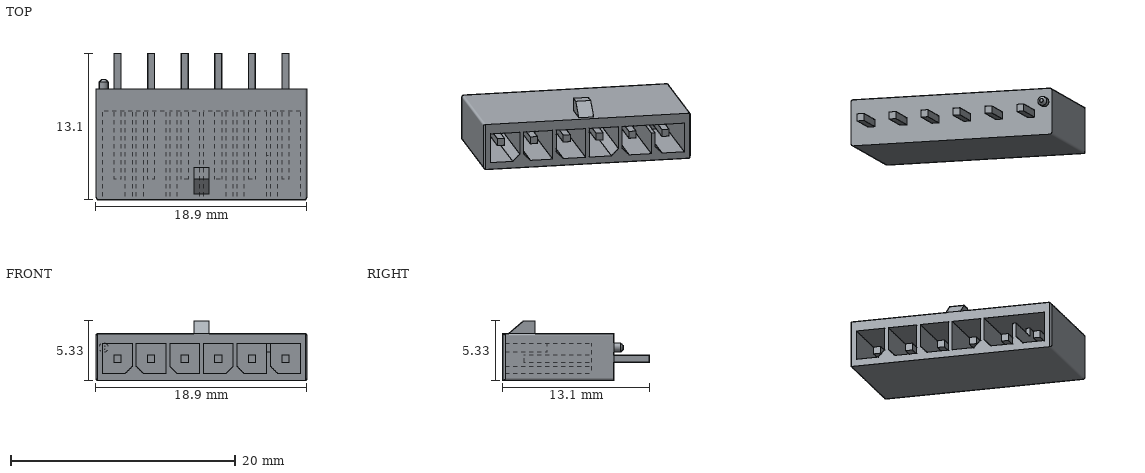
import cadquery as cq

body_width = 18.85
body_depth = 9.92
body_height = 4.18
edge_radius = 0.2
front_chamfer_width = 0.13
front_chamfer_depth = 0.26

contact_count = 6
pitch = 3.0
cavity_size = 2.65
cavity_depth = 7.92
cavity_center_z = 1.96
key_chamfer = 0.65
keys_on_right = (True, False, False, True, False, False)

notch_height = 0.75
notch_depth = cavity_depth / 2

pin_size = 0.65
pin_z = 1.95
pin_tail_length = 3.17
pin_inner_length = 6.03

latch_width = 1.35
latch_height = 1.15
latch_front_y = 0.5
latch_length = 2.4
latch_flat_length = 1.04

peg_diameter = 0.83
peg_length = 0.85
peg_chamfer = 0.25
peg_inset_x = 0.7
peg_z = 2.95

contact_xs = [(index - (contact_count - 1) / 2) * pitch for index in range(contact_count)]


def make_housing():
    """Block with its front face at Y = 0, rounded along the ends and bevelled at the front corners."""
    housing = cq.Workplane("XY").box(body_width, body_depth, body_height, centered=(True, False, False))
    for side in ("<X", ">X"):
        housing = housing.faces(side).edges("|Y").fillet(edge_radius)
    half_width = body_width / 2
    for sign in (-1, 1):
        corner = (
            cq.Workplane("XY")
            .moveTo(sign * half_width, 0)
            .lineTo(sign * (half_width - front_chamfer_width), 0)
            .lineTo(sign * half_width, front_chamfer_depth)
            .close()
            .extrude(body_height)
        )
        housing = housing.cut(corner)
    return housing


def make_cavity(x, key_on_right):
    """Square pocket with one bottom corner cut off as a polarizing key."""
    cavity = cq.Workplane("XY").box(cavity_size, cavity_depth, cavity_size, centered=(True, False, True))
    key_edge = ">X and <Z" if key_on_right else "<X and <Z"
    cavity = cavity.edges("|Y").edges(key_edge).chamfer(key_chamfer)
    return cavity.translate((x, 0, cavity_center_z))


def make_notch():
    """Slot joining the last two cavities under the top wall."""
    cavity_top = cavity_center_z + cavity_size / 2
    return (
        cq.Workplane("XY")
        .box(pitch, notch_depth, notch_height, centered=(True, False, False))
        .translate(((contact_xs[-2] + contact_xs[-1]) / 2, 0, cavity_top - notch_height))
    )


def make_pin(x):
    """Square pin from inside the cavity out through the rear wall."""
    pin_start = cavity_depth - pin_inner_length
    pin_end = body_depth + pin_tail_length
    return (
        cq.Workplane("XY")
        .box(pin_size, pin_end - pin_start, pin_size, centered=(True, False, True))
        .translate((x, pin_start, pin_z))
    )


def make_latch():
    """Ramp rising from the front to a flat top with a square back."""
    latch_back_y = latch_front_y + latch_length
    return (
        cq.Workplane("YZ")
        .moveTo(latch_front_y, body_height)
        .lineTo(latch_back_y, body_height)
        .lineTo(latch_back_y, body_height + latch_height)
        .lineTo(latch_back_y - latch_flat_length, body_height + latch_height)
        .close()
        .extrude(latch_width / 2, both=True)
    )


def make_peg():
    """Round peg with a bevelled tip, pointing backward."""
    peg = cq.Workplane("XZ").circle(peg_diameter / 2).extrude(-peg_length)
    peg = peg.faces(">Y").chamfer(peg_chamfer)
    return peg.translate((-body_width / 2 + peg_inset_x, body_depth, peg_z))


result = make_housing()
for contact_x, key_on_right in zip(contact_xs, keys_on_right):
    result = result.cut(make_cavity(contact_x, key_on_right))
result = result.cut(make_notch())
for contact_x in contact_xs:
    result = result.union(make_pin(contact_x))
result = result.union(make_latch()).union(make_peg())